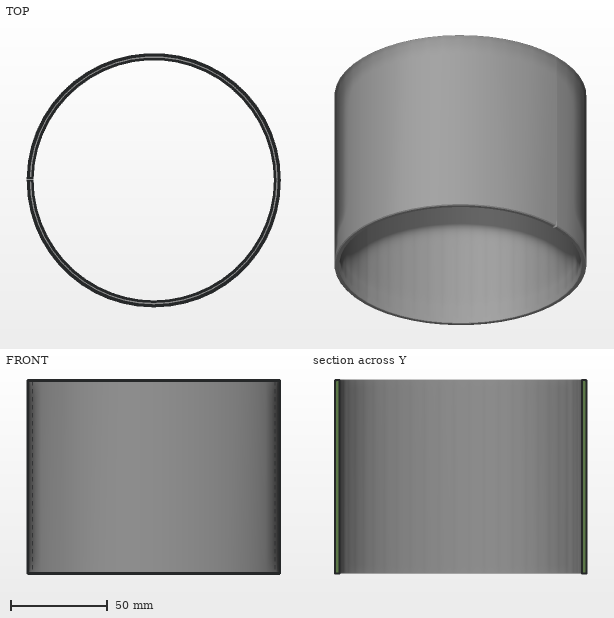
import cadquery as cq
import math

outer_diameter = 130.0
wall_thickness = 2.5
height = 100.0
outer_chamfer = 0.5
inner_chamfer = 0.2
slit_angle = 1.0

outer_radius = outer_diameter / 2
inner_radius = outer_radius - wall_thickness


def make_sleeve():
    """Tube on the Z axis, chamfered on the outer and inner rims of both ends."""
    body = cq.Workplane("XY").circle(outer_radius).extrude(height)
    body = body.faces("<Z or >Z").edges().chamfer(outer_chamfer)
    body = body.cut(cq.Workplane("XY").circle(inner_radius).extrude(height))
    inner_rims = body.faces("<Z or >Z").edges(cq.selectors.RadiusNthSelector(0))
    return inner_rims.chamfer(inner_chamfer)


def make_slit():
    """Full-height wedge from the axis through the -X wall, just on its +Y side."""
    reach = outer_diameter
    slit_slope = math.tan(math.radians(slit_angle))
    corners = [(0, 0), (-reach, 0), (-reach, reach * slit_slope)]
    return cq.Workplane("XY").polyline(corners).close().extrude(height)


result = make_sleeve().cut(make_slit())